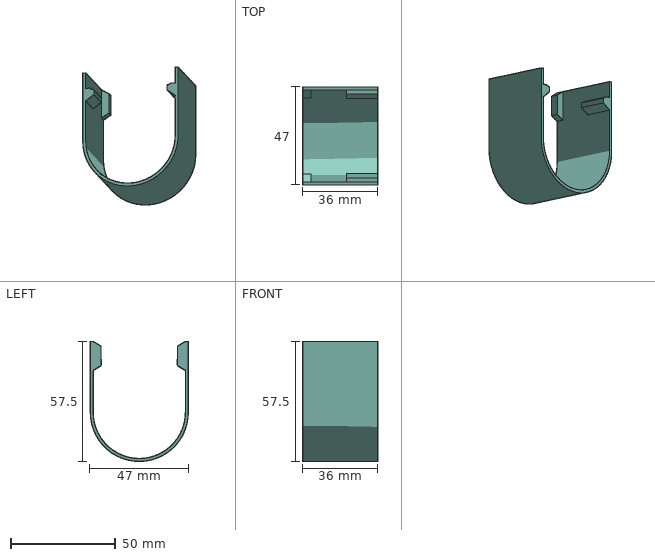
import cadquery as cq

length = 36.0
outer_width = 47.0
wall = 1.5
leg_height = 34.0

outer_radius = outer_width / 2
inner_radius = outer_radius - wall

lug_length = 4.0
lug_height = 14.0
lug_depth = 3.75
lug_bevel = 2.25

rib_length = 15.0
rib_depth = 4.0
rib_ledge = 2.0
rib_drop = 7.75
rib_top = leg_height - rib_drop
rib_top_bevel = 0.95
rib_nose = 2.3
rib_bottom_bevel = 3.0

root_y = -outer_radius + wall / 2
face_y = -inner_radius


def extrude_along_x(outline, x_start, extent):
    return cq.Workplane("YZ").workplane(offset=x_start).polyline(outline).close().extrude(extent)


def make_shell():
    return (
        cq.Workplane("YZ")
        .moveTo(-outer_radius, leg_height)
        .lineTo(-outer_radius, 0)
        .threePointArc((0, -outer_radius), (outer_radius, 0))
        .lineTo(outer_radius, leg_height)
        .lineTo(inner_radius, leg_height)
        .lineTo(inner_radius, 0)
        .threePointArc((0, -inner_radius), (-inner_radius, 0))
        .lineTo(-inner_radius, leg_height)
        .close()
        .extrude(length)
    )


def make_lug():
    tip_y = face_y + lug_depth
    bottom = leg_height - lug_height
    outline = [
        (root_y, leg_height),
        (face_y, leg_height),
        (tip_y, leg_height - lug_bevel),
        (tip_y, bottom + lug_bevel),
        (face_y, bottom),
        (root_y, bottom),
    ]
    return extrude_along_x(outline, 0, lug_length)


def make_rib():
    tip_y = face_y + rib_depth
    nose_top = rib_top - rib_top_bevel
    nose_bottom = nose_top - rib_nose
    bottom = nose_bottom - rib_bottom_bevel
    outline = [
        (root_y, rib_top),
        (face_y + rib_ledge, rib_top),
        (tip_y, nose_top),
        (tip_y, nose_bottom),
        (face_y, bottom),
        (root_y, bottom),
    ]
    return extrude_along_x(outline, length - rib_length, rib_length)


result = make_shell()
for feature in (make_lug(), make_rib()):
    result = result.union(feature).union(feature.mirror("XZ"))